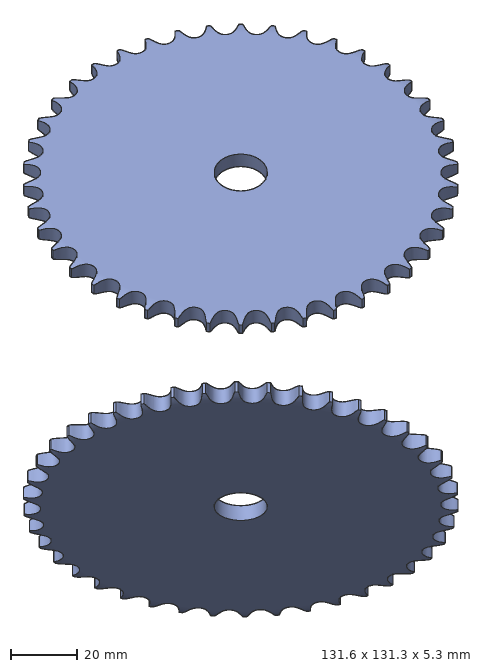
import cadquery as cq
import math

TOOTH_COUNT = 42
PITCH_DIAMETER = 127.5
TIP_RADIUS = 65.8
THICKNESS = 5.3
BORE_DIAMETER = 16.0

ROLLER_DIAMETER = 6.3
SEAT_CLEARANCE_RATIO = 1.02
HOLLOW_RATIO = 1.3
HOLLOW_OFFSET_RATIO = 0.8
TIP_ARC_OFFSET_RATIO = 1.4

SEAT_HALF_ANGLE = math.radians(55 - 60 / TOOTH_COUNT)
HOLLOW_ANGLE = math.radians(18 - 56 / TOOTH_COUNT)
TIP_ARC_ANGLE = math.radians(17 - 64 / TOOTH_COUNT)

SEAT_RADIUS = SEAT_CLEARANCE_RATIO * ROLLER_DIAMETER / 2
HOLLOW_RADIUS = HOLLOW_RATIO * ROLLER_DIAMETER
HOLLOW_OFFSET = HOLLOW_OFFSET_RATIO * ROLLER_DIAMETER
TIP_ARC_OFFSET = TIP_ARC_OFFSET_RATIO * ROLLER_DIAMETER
FACE_LENGTH = TIP_ARC_OFFSET * math.sin(TIP_ARC_ANGLE) - HOLLOW_OFFSET * math.sin(HOLLOW_ANGLE)
TIP_ARC_RADIUS = (
    HOLLOW_OFFSET * math.cos(HOLLOW_ANGLE) + TIP_ARC_OFFSET * math.cos(TIP_ARC_ANGLE) - HOLLOW_RADIUS
)

FLAT_FACE_RADIUS = 61.3
SIDE_ROUND_RADIUS = 12.5

PITCH_ANGLE = 2 * math.pi / TOOTH_COUNT
SEAT_CENTRE_RADIUS = PITCH_DIAMETER / 2
ROOT_RADIUS = SEAT_CENTRE_RADIUS - SEAT_RADIUS


def polar(centre, radius, angle):
    """Point at a radius and angle (measured from +X) around a centre."""
    return (centre[0] + radius * math.cos(angle), centre[1] + radius * math.sin(angle))


def rotated(point, angle):
    """Point turned about the sprocket axis."""
    x, y = point
    return (
        x * math.cos(angle) - y * math.sin(angle),
        x * math.sin(angle) + y * math.cos(angle),
    )


def mirrored(point):
    """Point reflected in the X axis."""
    return (point[0], -point[1])


def gap_side():
    """Points of one side of the tooth gap centred on +X, from the seat to the tooth tip."""
    seat_end_angle = math.pi - SEAT_HALF_ANGLE
    hollow_end_angle = seat_end_angle - HOLLOW_ANGLE
    seat_end = polar((SEAT_CENTRE_RADIUS, 0), SEAT_RADIUS, seat_end_angle)
    hollow_centre = polar(seat_end, -HOLLOW_RADIUS, seat_end_angle)
    hollow_middle = polar(hollow_centre, HOLLOW_RADIUS, seat_end_angle - HOLLOW_ANGLE / 2)
    hollow_end = polar(hollow_centre, HOLLOW_RADIUS, hollow_end_angle)
    face_end = polar(hollow_end, FACE_LENGTH, hollow_end_angle - math.pi / 2)

    tip_arc_centre = polar(face_end, TIP_ARC_RADIUS, hollow_end_angle)
    centre_distance = math.hypot(*tip_arc_centre)
    cosine = (TIP_RADIUS**2 - TIP_ARC_RADIUS**2 - centre_distance**2) / (
        2 * TIP_ARC_RADIUS * centre_distance
    )
    start_angle = hollow_end_angle - math.pi
    end_angle = math.atan2(tip_arc_centre[1], tip_arc_centre[0]) - math.acos(cosine)
    tip_arc_middle = polar(tip_arc_centre, TIP_ARC_RADIUS, (start_angle + end_angle) / 2)
    tip = polar(tip_arc_centre, TIP_ARC_RADIUS, end_angle)
    return seat_end, hollow_middle, hollow_end, face_end, tip_arc_middle, tip


def toothed_plate():
    """Plate with the full tooth outline and square edges; one tooth is centred on +X."""
    side = gap_side()
    outline = cq.Workplane("XY").workplane(offset=-THICKNESS / 2)
    outline = outline.moveTo(*rotated(mirrored(side[-1]), PITCH_ANGLE / 2))
    for tooth in range(TOOTH_COUNT):
        gap_angle = (tooth + 0.5) * PITCH_ANGLE
        tip_angle = gap_angle + PITCH_ANGLE / 2
        seat_end, hollow_middle, hollow_end, face_end, tip_arc_middle, tip = (
            rotated(point, gap_angle) for point in side
        )
        seat_start, hollow_middle_in, hollow_start, face_start, tip_arc_middle_in, _ = (
            rotated(mirrored(point), gap_angle) for point in side
        )
        next_tip = rotated(mirrored(side[-1]), gap_angle + PITCH_ANGLE)
        outline = (
            outline.threePointArc(tip_arc_middle_in, face_start)
            .lineTo(*hollow_start)
            .threePointArc(hollow_middle_in, seat_start)
            .threePointArc(rotated((ROOT_RADIUS, 0), gap_angle), seat_end)
            .threePointArc(hollow_middle, hollow_end)
            .lineTo(*face_end)
            .threePointArc(tip_arc_middle, tip)
            .threePointArc(rotated((TIP_RADIUS, 0), tip_angle), next_tip)
        )
    return outline.close().extrude(THICKNESS)


def rounded_disc():
    """Disc whose rim falls away from both flat faces along tangent arcs."""
    half_thickness = THICKNESS / 2

    def rim_height(radius):
        run = radius - FLAT_FACE_RADIUS
        return half_thickness - SIDE_ROUND_RADIUS + math.sqrt(SIDE_ROUND_RADIUS**2 - run**2)

    middle_radius = (FLAT_FACE_RADIUS + TIP_RADIUS) / 2
    middle_height = rim_height(middle_radius)
    tip_height = rim_height(TIP_RADIUS)
    return (
        cq.Workplane("XZ")
        .moveTo(0, -half_thickness)
        .lineTo(FLAT_FACE_RADIUS, -half_thickness)
        .threePointArc((middle_radius, -middle_height), (TIP_RADIUS, -tip_height))
        .lineTo(TIP_RADIUS, tip_height)
        .threePointArc((middle_radius, middle_height), (FLAT_FACE_RADIUS, half_thickness))
        .lineTo(0, half_thickness)
        .close()
        .revolve(360, (0, 0, 0), (0, 1, 0))
    )


sprocket = toothed_plate().intersect(rounded_disc())
result = sprocket.faces(">Z").workplane(origin=(0, 0, 0)).hole(BORE_DIAMETER)